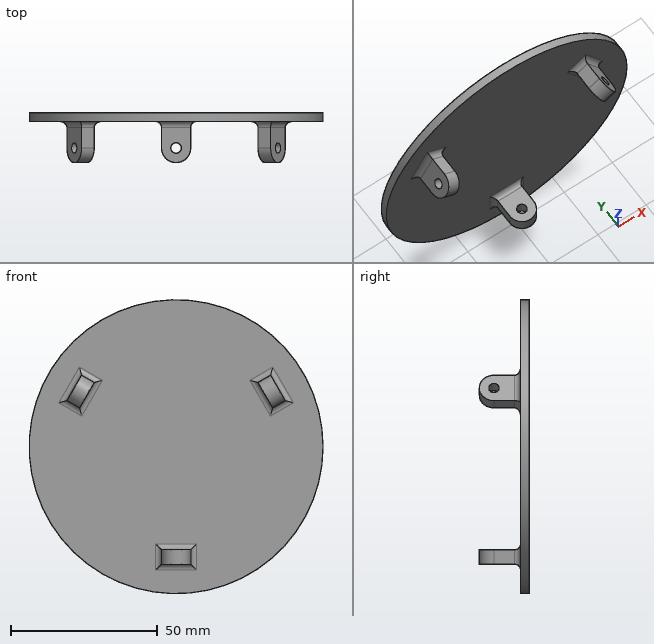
import cadquery as cq

plate_diameter = 100.0
plate_thickness = 3.0

lug_count = 3
lug_circle_radius = 37.5
lug_width = 10.0
lug_thickness = 5.0
lug_height = 14.0
lug_hole_diameter = 3.5
lug_root_fillet = 2.0

plate_face_y = -plate_thickness
lug_tip_y = plate_face_y - lug_height
lug_end_radius = lug_width / 2
lug_hole_y = lug_tip_y + lug_end_radius


def make_plate():
    """Plain disc growing from Y = 0 toward -Y."""
    return cq.Workplane("XZ").circle(plate_diameter / 2).extrude(plate_thickness)


def make_lug():
    """Round-ended lug at the bottom of the lug circle, bored along Z."""
    return (
        cq.Workplane("XY", origin=(0, 0, -lug_circle_radius))
        .moveTo(-lug_width / 2, plate_face_y)
        .lineTo(-lug_width / 2, lug_hole_y)
        .threePointArc((0, lug_tip_y), (lug_width / 2, lug_hole_y))
        .lineTo(lug_width / 2, plate_face_y)
        .close()
        .moveTo(0, lug_hole_y)
        .circle(lug_hole_diameter / 2)
        .extrude(lug_thickness / 2, both=True)
    )


def fillet_lug_roots(body):
    """Round the inside corners where the lugs meet the plate face."""
    edge_margin = 0.1
    root_zone = cq.selectors.BoxSelector(
        (-lug_circle_radius - lug_width, plate_face_y - edge_margin, -lug_circle_radius - lug_width),
        (lug_circle_radius + lug_width, plate_face_y + edge_margin, lug_circle_radius + lug_width),
    )
    return body.edges(root_zone).edges("%LINE").fillet(lug_root_fillet)


result = make_plate()
for index in range(lug_count):
    angle = index * 360 / lug_count
    result = result.union(make_lug().rotate((0, 0, 0), (0, 1, 0), angle))
result = fillet_lug_roots(result)